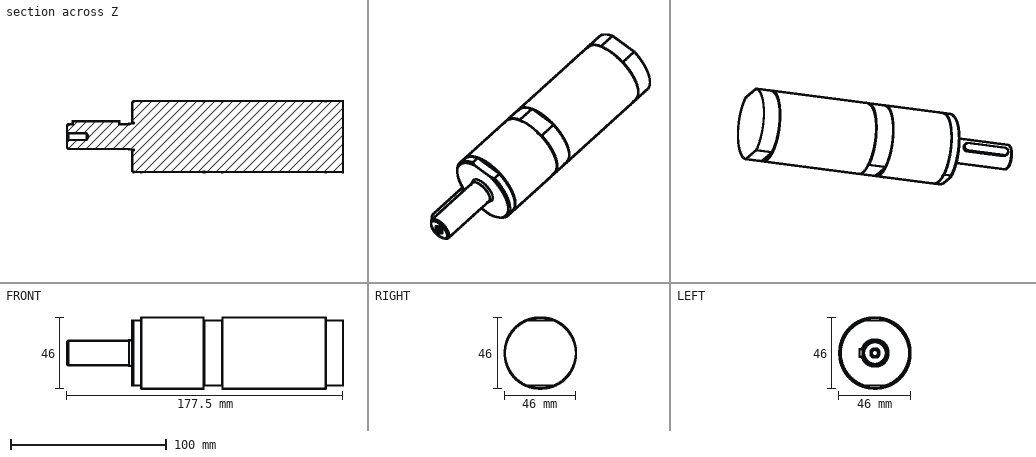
import cadquery as cq
import math

shaft_diameter = 16.0
shaft_chamfer = 1.0
shaft_length = 42.0

collar_tip_diameter = 16.5
collar_diameter = 16.95
collar_start = 40.0
collar_taper_length = 1.0

recess_diameter = 17.5
recess_depth = 1.0

bore_diameter = 4.13
bore_mouth_diameter = 6.0
bore_depth = 12.5
drill_tip_angle = 118.0

key_start = 3.75
key_length = 30.0
key_width = 5.0
key_top = 10.0
key_seat = 5.0

overall_length = 177.5
body_diameter = 46.0
body_front_chamfer = 1.0
joint_chamfer = 0.4
front_barrel_start = 47.75
middle_ring_start = 88.0
rear_barrel_start = 100.0
rear_ring_start = 166.5

across_flats = 42.0


def cylinder(start, length, diameter):
    return cq.Workplane("YZ").workplane(offset=start).circle(diameter / 2).extrude(length)


def make_shaft():
    shaft = cylinder(0, shaft_length, shaft_diameter).faces("<X").chamfer(shaft_chamfer)
    taper_step = (collar_diameter - collar_tip_diameter) / 2
    collar_end = shaft_length + recess_depth
    collar = cylinder(collar_start, collar_end - collar_start, collar_diameter)
    collar = collar.faces("<X").chamfer(collar_taper_length, taper_step)
    return shaft.union(collar)


def make_section(start, end):
    return cylinder(start, end - start, body_diameter)


def with_flats(section):
    slab = cq.Workplane("XY").box(2 * overall_length, body_diameter, across_flats)
    return section.intersect(slab)


def make_body():
    front_ring = make_section(shaft_length, front_barrel_start).faces("<X").chamfer(body_front_chamfer)
    front_barrel = make_section(front_barrel_start, middle_ring_start).faces("<X").chamfer(joint_chamfer)
    middle_ring = make_section(middle_ring_start, rear_barrel_start).faces("<X or >X").chamfer(joint_chamfer)
    rear_barrel = make_section(rear_barrel_start, rear_ring_start).faces(">X").chamfer(joint_chamfer)
    rear_ring = make_section(rear_ring_start, overall_length)

    body = front_barrel.union(rear_barrel)
    for ring in (front_ring, middle_ring, rear_ring):
        body = body.union(with_flats(ring))
    return body.cut(cylinder(shaft_length, recess_depth, recess_diameter))


def make_key():
    return (
        cq.Workplane("XZ", origin=(key_start + key_length / 2, key_seat, 0))
        .slot2D(key_length, key_width)
        .extrude(key_seat - key_top)
    )


def make_bore():
    bore_radius = bore_diameter / 2
    mouth_radius = bore_mouth_diameter / 2
    mouth_depth = mouth_radius - bore_radius
    tip_depth = bore_radius / math.tan(math.radians(drill_tip_angle / 2))
    return (
        cq.Workplane("XY")
        .moveTo(0, 0)
        .lineTo(0, mouth_radius)
        .lineTo(mouth_depth, bore_radius)
        .lineTo(bore_depth, bore_radius)
        .lineTo(bore_depth + tip_depth, 0)
        .close()
        .revolve(360, (0, 0, 0), (1, 0, 0))
    )


result = make_body().union(make_shaft()).union(make_key()).cut(make_bore())